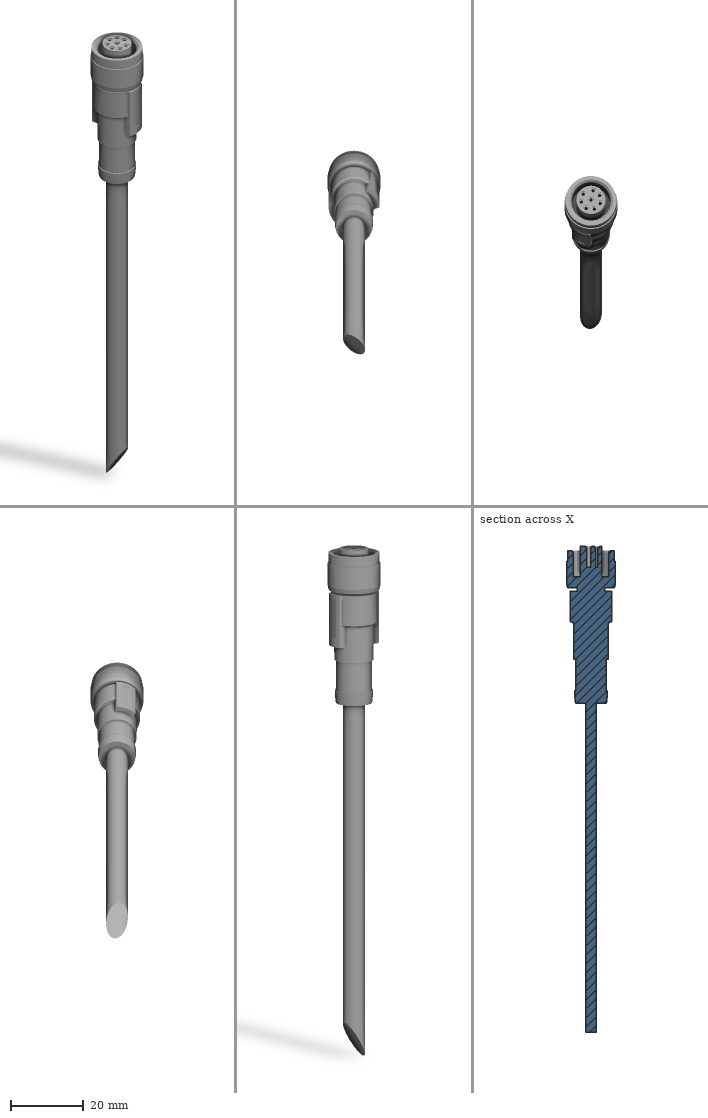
import cadquery as cq
import math

total_height = 143.5
cable_cut_height = 9.9
gland_bottom = 100.0
gland_top = 103.6
grip_step = 112.2
wing_bottom = 116.5
collar_bottom = 122.5
collar_top = 131.2
nut_bottom = 132.0
nut_chamfer_top = 133.3
nut_shoulder = 139.5
nut_top = 142.4

cable_diameter = 6.0
gland_diameter = 10.6
gland_end_diameter = 10.0
gland_round_radius = 23.0
grip_lower_diameter = 10.0
grip_upper_diameter = 10.9
collar_diameter = 12.8
collar_chamfer = 0.3
collar_root_bevel = 0.3
neck_diameter = 9.3
nut_rim_diameter = 14.0
nut_diameter = 14.6
insert_diameter = 8.0

bore_diameter = 10.9
bore_chamfer = 0.6
bore_depth = 7.2

wing_diameter = 14.0
wing_width = 5.6
wing_flat_width = 3.0
wing_flat_bottom = 118.8
wing_flat_top = 129.7

contact_circle_radius = 2.7
contact_mouth_diameter = 1.6
contact_mouth_depth = 0.3
contact_diameter = 0.9
contact_depth = 5.7
outer_contacts = 7
key_angle = 45.0
key_gap_angle = 64.0


def cylinder(diameter, bottom, top):
    return cq.Workplane("XY").workplane(offset=bottom).circle(diameter / 2).extrude(top - bottom)


def make_cable():
    """Round cable whose lower end is cut off at a slant, lowest on the -X side."""
    radius = cable_diameter / 2
    return (
        cq.Workplane("XZ")
        .moveTo(-radius, 0)
        .lineTo(radius, cable_cut_height)
        .lineTo(radius, gland_bottom)
        .lineTo(-radius, gland_bottom)
        .close()
        .extrude(radius, both=True)
        .intersect(cylinder(cable_diameter, 0, gland_bottom))
    )


def make_body():
    """Revolved rounded gland, grip, collar, neck, nut and contact insert."""
    bore_bottom = nut_top - bore_depth
    upper_profile = [
        (grip_lower_diameter / 2, gland_top),
        (grip_lower_diameter / 2, grip_step),
        (grip_upper_diameter / 2, grip_step),
        (grip_upper_diameter / 2, collar_bottom - collar_root_bevel),
        (grip_upper_diameter / 2 + collar_root_bevel, collar_bottom),
        (collar_diameter / 2 - collar_chamfer, collar_bottom),
        (collar_diameter / 2, collar_bottom + collar_chamfer),
        (collar_diameter / 2, collar_top),
        (neck_diameter / 2, collar_top),
        (neck_diameter / 2, nut_bottom),
        (nut_rim_diameter / 2, nut_bottom),
        (nut_diameter / 2, nut_chamfer_top),
        (nut_diameter / 2, nut_shoulder),
        (nut_rim_diameter / 2, nut_shoulder),
        (nut_rim_diameter / 2, nut_top),
        (bore_diameter / 2 + bore_chamfer, nut_top),
        (bore_diameter / 2, nut_top - bore_chamfer),
        (bore_diameter / 2, bore_bottom),
        (insert_diameter / 2, bore_bottom),
        (insert_diameter / 2, total_height),
    ]
    return (
        cq.Workplane("XZ")
        .moveTo(gland_diameter / 2, gland_top)
        .radiusArc((gland_end_diameter / 2, gland_bottom), gland_round_radius)
        .lineTo(0, gland_bottom)
        .lineTo(0, total_height)
        .polyline(upper_profile[::-1], includeCurrent=True)
        .close()
        .revolve(360, (0, 0, 0), (0, 1, 0))
    )


def make_wings():
    """Pair of wings: a band of a cylinder, with a flat let into each rounded face."""
    wing_radius = wing_diameter / 2
    flat_distance = math.sqrt(wing_radius**2 - (wing_flat_width / 2) ** 2)
    band = (
        cq.Workplane("XY")
        .workplane(offset=wing_bottom)
        .rect(wing_diameter, wing_width)
        .extrude(collar_top - wing_bottom)
    )
    wings = band.intersect(cylinder(wing_diameter, wing_bottom, collar_top))
    for side in (-1, 1):
        flat_cut = (
            cq.Workplane("XY")
            .workplane(offset=wing_flat_bottom)
            .center(side * (flat_distance + wing_radius / 2), 0)
            .rect(wing_radius, wing_width)
            .extrude(wing_flat_top - wing_flat_bottom)
        )
        wings = wings.cut(flat_cut)
    return wings


def contact_positions():
    """Centre point followed by the points on the contact circle."""
    pitch = (360 - key_gap_angle) / (outer_contacts - 1)
    first_angle = key_angle + key_gap_angle / 2
    positions = [(0, 0)]
    for index in range(outer_contacts):
        angle = math.radians(first_angle + index * pitch)
        x = contact_circle_radius * math.cos(angle)
        y = contact_circle_radius * math.sin(angle)
        positions.append((x, y))
    return positions


def cut_contacts(part):
    """Blind contact holes in the insert face, each with a wider shallow mouth."""
    return (
        part.copyWorkplane(cq.Workplane("XY", origin=(0, 0, total_height)))
        .pushPoints(contact_positions())
        .cboreHole(contact_diameter, contact_mouth_diameter, contact_mouth_depth, contact_depth)
    )


body = make_body().union(make_cable()).union(make_wings())
result = cut_contacts(body)